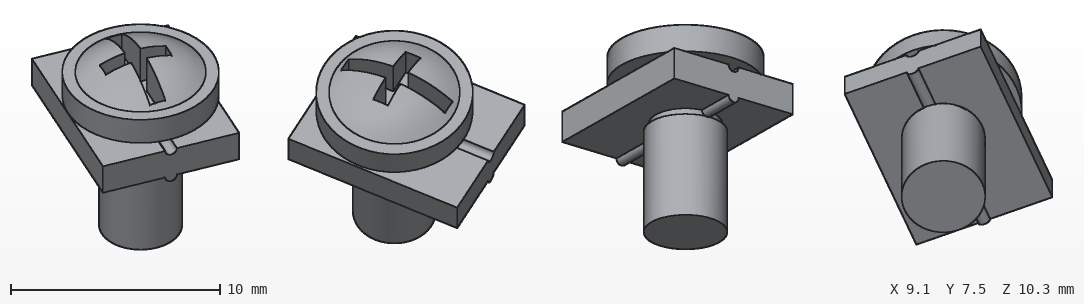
import cadquery as cq
import math

shank_diameter = 4.0
shank_length = 5.3
neck_diameter = 3.53
neck_length = 2.5
head_diameter = 7.5
head_rim_height = 1.4
dome_radius = 5.0
dome_height = 1.1
head_bottom = shank_length + neck_length
head_shoulder = head_bottom + head_rim_height
head_apex = head_shoulder + dome_height

recess_offset_y = -0.25
recess_slot_width = 0.8
recess_length_x = 5.6
recess_length_y = 3.4
recess_depth = 2.0

plate_reach_left = 5.2
plate_reach_right = 3.9
plate_length = plate_reach_left + plate_reach_right
plate_width = 7.03
plate_thickness = 1.6
plate_gap = 0.4
plate_bottom = shank_length + plate_gap
plate_top = plate_bottom + plate_thickness
bead_radius = 0.3


def screw_profile():
    """Half section of the screw, drawn in the XZ plane with the axis along Z."""
    dome_center = head_apex - dome_radius
    dome_base_radius = math.sqrt(dome_radius**2 - (head_shoulder - dome_center) ** 2)
    half_angle = math.asin(dome_base_radius / dome_radius) / 2
    dome_middle = (
        dome_radius * math.sin(half_angle),
        dome_center + dome_radius * math.cos(half_angle),
    )
    return (
        cq.Workplane("XZ")
        .lineTo(shank_diameter / 2, 0)
        .lineTo(shank_diameter / 2, shank_length)
        .lineTo(neck_diameter / 2, shank_length)
        .lineTo(neck_diameter / 2, head_bottom)
        .lineTo(head_diameter / 2, head_bottom)
        .lineTo(head_diameter / 2, head_shoulder)
        .lineTo(dome_base_radius, head_shoulder)
        .threePointArc(dome_middle, (0, head_apex))
        .close()
    )


def cross_recess():
    """Two crossed slots reaching down from the apex of the dome."""
    floor = cq.Workplane("XY", origin=(0, recess_offset_y, head_apex - recess_depth))
    slot_x = floor.rect(recess_length_x, recess_slot_width).extrude(recess_depth)
    slot_y = floor.rect(recess_slot_width, recess_length_y).extrude(recess_depth)
    return slot_x.union(slot_y)


def make_screw():
    blank = screw_profile().revolve(360, (0, 0, 0), (0, 1, 0))
    return blank.cut(cross_recess())


def bead_rod(height):
    """Round rod along the full plate length, with its axis at the given height."""
    return cq.Workplane("YZ", origin=(-plate_reach_left, 0, height)).circle(bead_radius).extrude(plate_length)


def make_plate():
    """Plate with a groove on top, a matching rib below and a hole that fits the neck."""
    slab = cq.Workplane("XY").box(plate_length, plate_width, plate_thickness, centered=(False, True, False))
    slab = slab.translate((-plate_reach_left, 0, plate_bottom))
    embossed = slab.union(bead_rod(plate_bottom)).cut(bead_rod(plate_top))
    neck_hole = cq.Workplane("XY", origin=(0, 0, shank_length)).circle(neck_diameter / 2).extrude(neck_length)
    return embossed.cut(neck_hole)


screw = make_screw()
plate = make_plate()

result = cq.Compound.makeCompound([screw.val(), plate.val()])